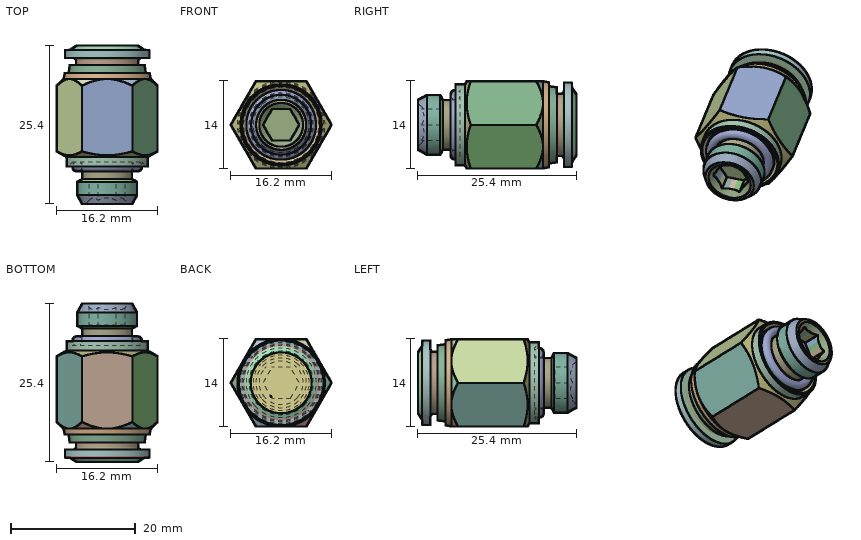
import cadquery as cq
import math

length = 25.4

hex_across_flats = 14.0
hex_across_corners = hex_across_flats / math.cos(math.radians(30))
flat_radius = hex_across_flats / 2
corner_radius = hex_across_corners / 2
hex_start = 7.55
hex_end = 20.05
front_bevel_angle = 30
rear_bevel_angle = 45

stud_radius = 4.8
neck_radius = 4.01
tip_chamfer_length = 1.45
stud_end = 3.58
neck_start = 4.01

collar_radius = 6.5
collar_face = 6.02
recess_mouth_radius = 6.25
recess_floor_radius = 5.6
recess_floor = 6.73
seal_outer_radius = 5.6
seal_tube_radius = (seal_outer_radius - neck_radius) / 2
seal_center_radius = neck_radius + seal_tube_radius

step_1_end = 21.0
step_1_end_radius = 6.8
step_2_end = 22.28
step_2_start_radius = 6.2
step_2_end_radius = 6.02

ring_neck_radius = 5.0
ring_neck_fillet = 0.4
ring_start = 23.37
ring_radius = 6.78
ring_rim_end = 24.71
ring_rim_fillet = 0.23
ring_cone_start_radius = 5.95
ring_cone_end_radius = 4.88
ring_cone_fillet = 0.5

socket_mouth_radius = 3.5
socket_across_flats = 5.0
socket_across_corners = socket_across_flats / math.cos(math.radians(30))
socket_cone_angle = 45
socket_depth = 3.48
pilot_radius = 2.55


def revolve(points):
    """Revolve a closed (radius, y) outline about the Y axis."""
    return cq.Workplane("XY").polyline(points).close().revolve(360, (0, 0), (0, 1))


def hex_prism(across_corners, start, end):
    """Hexagonal prism along Y with corners on the +X and -X sides."""
    plane = cq.Plane(origin=(0, start, 0), xDir=(1, 0, 0), normal=(0, 1, 0))
    return cq.Workplane(plane).polygon(6, across_corners).extrude(end - start)


def make_hex_body():
    front_rise = (corner_radius - collar_radius) * math.tan(math.radians(front_bevel_angle))
    rear_drop = (corner_radius - flat_radius) * math.tan(math.radians(rear_bevel_angle))
    bevel_envelope = revolve([
        (0, hex_start),
        (collar_radius, hex_start),
        (corner_radius, hex_start + front_rise),
        (corner_radius, hex_end - rear_drop),
        (flat_radius, hex_end),
        (0, hex_end),
    ])
    return hex_prism(hex_across_corners, hex_start, hex_end).intersect(bevel_envelope)


def make_stud_and_collar():
    return revolve([
        (0, 0),
        (neck_radius, 0),
        (stud_radius, tip_chamfer_length),
        (stud_radius, stud_end),
        (neck_radius, neck_start),
        (neck_radius, recess_floor),
        (recess_floor_radius, recess_floor),
        (recess_mouth_radius, collar_face),
        (collar_radius, collar_face),
        (collar_radius, hex_start),
        (0, hex_start),
    ])


def make_seal():
    ring = cq.Workplane("XY").center(seal_center_radius, collar_face).circle(seal_tube_radius)
    return ring.revolve(360, (-seal_center_radius, 0), (-seal_center_radius, 1))


def make_rear_steps():
    return revolve([
        (0, hex_end),
        (flat_radius, hex_end),
        (step_1_end_radius, step_1_end),
        (step_2_start_radius, step_1_end),
        (step_2_end_radius, step_2_end),
        (0, step_2_end),
    ])


def make_release_ring():
    cone_angle = math.atan2(length - ring_rim_end, ring_cone_start_radius - ring_cone_end_radius)
    tangent_length = ring_cone_fillet * math.tan(cone_angle / 2)
    outline = (
        cq.Workplane("XY")
        .moveTo(0, step_2_end)
        .lineTo(ring_neck_radius, step_2_end)
        .lineTo(ring_neck_radius, ring_start - ring_neck_fillet)
        .tangentArcPoint((ring_neck_fillet, ring_neck_fillet))
        .lineTo(ring_radius, ring_start)
        .lineTo(ring_radius, ring_rim_end - ring_rim_fillet)
        .tangentArcPoint((-ring_rim_fillet, ring_rim_fillet))
        .lineTo(ring_cone_start_radius + tangent_length, ring_rim_end)
        .tangentArcPoint((
            -tangent_length * (1 + math.cos(cone_angle)),
            tangent_length * math.sin(cone_angle),
        ))
        .lineTo(ring_cone_end_radius, length)
        .lineTo(0, length)
        .close()
    )
    return outline.revolve(360, (0, 0), (0, 1))


def make_socket():
    cone_depth = (socket_mouth_radius - pilot_radius) * math.tan(math.radians(socket_cone_angle))
    pilot_and_lead_in = revolve([
        (0, 0),
        (socket_mouth_radius, 0),
        (pilot_radius, cone_depth),
        (pilot_radius, socket_depth),
        (0, socket_depth),
    ])
    return hex_prism(socket_across_corners, 0, socket_depth).union(pilot_and_lead_in)


result = (
    make_hex_body()
    .union(make_stud_and_collar())
    .union(make_seal())
    .union(make_rear_steps())
    .union(make_release_ring())
    .cut(make_socket())
)